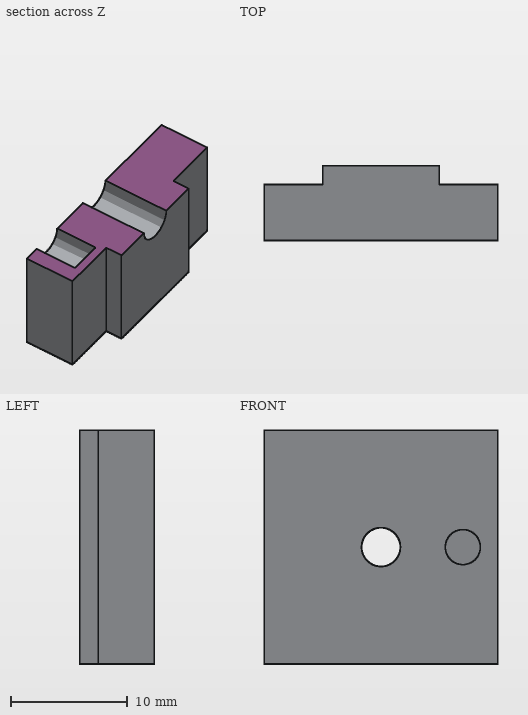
import cadquery as cq

side = 20.0
base_depth = 4.8
rib_width = side / 2
rib_depth = 1.6
through_diameter = 3.3
blind_diameter = 3.0
blind_offset = 7.0
blind_depth = 4.0

total_depth = base_depth + rib_depth


def block_along_y(width, depth, front_y):
    """Full-height block centred on X and Z, starting at front_y."""
    return cq.Workplane("XY").box(width, depth, side).translate((0, front_y + depth / 2, 0))


def drill_along_y(x, diameter, depth):
    """Flat-bottomed cutter entering the front face at mid height."""
    return cq.Workplane("XZ").center(x, 0).circle(diameter / 2).extrude(-depth)


base = block_along_y(side, base_depth, 0)
rib = block_along_y(rib_width, rib_depth, base_depth)
body = base.union(rib)

through_hole = drill_along_y(0, through_diameter, total_depth)
blind_hole = drill_along_y(blind_offset, blind_diameter, blind_depth)

result = body.cut(through_hole).cut(blind_hole)